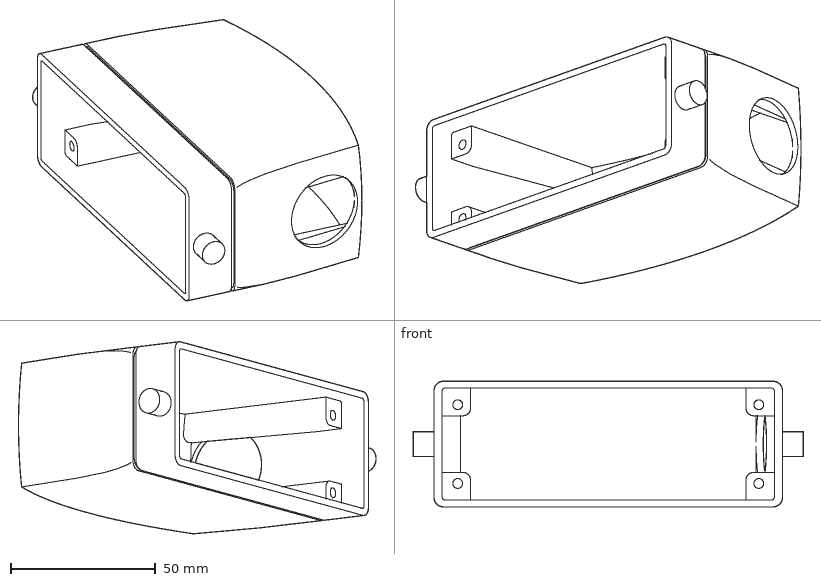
import cadquery as cq

TOTAL_LENGTH = 134.5
LENGTH = 120.2
HEIGHT = 43.5
CORNER_RADIUS = 3.4
DEPTH = 77.6
END_WALL = 2.8
SIDE_WALL = 2.4
CAVITY_RADIUS = 1.1

TAPER_START = 17.5
CAVITY_TAPER_START = 19.8
ROOF_CORNER_X = 53.3
ROOF_CORNER_Y = 69.5
ROOF_WALL = 2.4
ROOF_RISE = DEPTH - ROOF_CORNER_Y
ROOF_RADIUS = (ROOF_CORNER_X**2 + ROOF_RISE**2) / (2 * ROOF_RISE)
ROOF_CENTER_Y = DEPTH - ROOF_RADIUS
TAPER_SLOPE = (LENGTH / 2 - ROOF_CORNER_X) / (ROOF_CORNER_Y - TAPER_START)

GROOVE_WIDTH = 1.2
GROOVE_DEPTH = 0.8
GROOVE_CORNER_RADIUS = 3.4

POST_LENGTH_X = 9.8
POST_HEIGHT_Z = 9.5
POST_RADIUS = 2.7
POST_START = 9.3
SCREW_HOLE_X = 51.9
SCREW_HOLE_Z = 13.6
SCREW_HOLE_DIAMETER = 3.4
SCREW_HOLE_DEPTH = 13.5

ENTRY_DIAMETER = 27.0
ENTRY_Y = 54.2

PEG_DIAMETER = 8.6
PEG_Y = 5.9
PEG_LENGTH = (TOTAL_LENGTH - LENGTH) / 2


def prism_along_y(length_x, height_z, corner_radius, start, end):
    """Rounded rectangle centred on the Y axis, extruded from y = start to y = end."""
    block = cq.Workplane("XY").box(length_x, end - start, height_z)
    return block.edges("|Y").fillet(corner_radius).translate((0, (start + end) / 2, 0))


def hood_envelope(wall_x, roof_wall, taper_start):
    """Space between the two tapered ends and under the dome, moved in by the wall thicknesses."""
    half = LENGTH / 2 - wall_x
    half_far = half - TAPER_SLOPE * (DEPTH - taper_start)
    tapered = (
        cq.Workplane("XY")
        .polyline([(-half, 0), (half, 0), (half, taper_start), (half_far, DEPTH),
                   (-half_far, DEPTH), (-half, taper_start)])
        .close()
        .extrude(HEIGHT / 2, both=True)
    )
    dome = cq.Workplane("XY").sphere(ROOF_RADIUS - roof_wall, direct=(0, 1, 0))
    return tapered.intersect(dome.translate((0, ROOF_CENTER_Y, 0)))


def make_cavity():
    prism = prism_along_y(LENGTH - 2 * END_WALL, HEIGHT - 2 * SIDE_WALL, CAVITY_RADIUS, 0, DEPTH)
    return prism.intersect(hood_envelope(END_WALL, ROOF_WALL, CAVITY_TAPER_START))


def make_groove():
    start = TAPER_START - GROOVE_WIDTH
    outer = prism_along_y(LENGTH, HEIGHT, CORNER_RADIUS, start, TAPER_START)
    inner = prism_along_y(LENGTH - 2 * GROOVE_DEPTH, HEIGHT - 2 * GROOVE_DEPTH,
                          GROOVE_CORNER_RADIUS, start, TAPER_START)
    return outer.cut(inner)


def make_post(side_x, side_z, cavity):
    """Corner post from POST_START to the roof, filling the cavity corner, with a blind screw hole."""
    post_depth = DEPTH - POST_START
    cavity_x = LENGTH / 2 - END_WALL
    cavity_z = HEIGHT / 2 - SIDE_WALL
    center = (side_x * (cavity_x - POST_LENGTH_X / 2), POST_START,
              side_z * (cavity_z - POST_HEIGHT_Z / 2))
    block = (
        cq.Workplane("ZX", origin=center)
        .sketch()
        .rect(POST_HEIGHT_Z, POST_LENGTH_X)
        .vertices(("<" if side_z > 0 else ">") + "X and " + ("<" if side_x > 0 else ">") + "Y")
        .fillet(POST_RADIUS)
        .finalize()
        .extrude(post_depth)
    )
    hole = cq.Workplane(cq.Solid.makeCylinder(
        SCREW_HOLE_DIAMETER / 2, SCREW_HOLE_DEPTH,
        cq.Vector(side_x * SCREW_HOLE_X, POST_START, side_z * SCREW_HOLE_Z), cq.Vector(0, 1, 0)))
    return block.intersect(cavity).cut(hole)


def make_entry():
    """Round cable entry along X, from the middle of the housing out through the +X end wall."""
    return cq.Workplane(cq.Solid.makeCylinder(
        ENTRY_DIAMETER / 2, LENGTH / 2, cq.Vector(0, ENTRY_Y, 0), cq.Vector(1, 0, 0)))


def make_peg(side_x):
    return cq.Workplane(cq.Solid.makeCylinder(
        PEG_DIAMETER / 2, PEG_LENGTH,
        cq.Vector(side_x * LENGTH / 2, PEG_Y, 0), cq.Vector(side_x, 0, 0)))


def make_housing(cavity):
    shell = prism_along_y(LENGTH, HEIGHT, CORNER_RADIUS, 0, DEPTH).intersect(
        hood_envelope(0, 0, TAPER_START))
    housing = shell.cut(cavity).cut(make_groove()).cut(make_entry())
    for side_x in (-1, 1):
        housing = housing.union(make_peg(side_x))
    return housing


cavity = make_cavity()
housing = make_housing(cavity)
posts = [make_post(side_x, side_z, cavity) for side_x in (-1, 1) for side_z in (-1, 1)]

result = cq.Compound.makeCompound([housing.val(), *[post.val() for post in posts]])